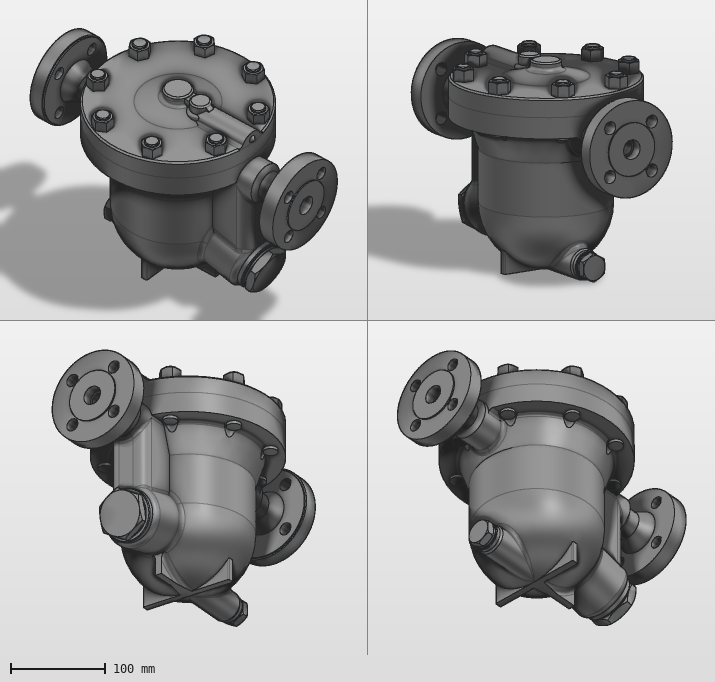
import math

import cadquery as cq


TOUCH_TOLERANCE = 0.001

COVER_RADIUS = 103.0
COVER_TOP = 47.6
COVER_JOINT = 27.0
COVER_CHAMFER = 2.0
FLANGE_BOTTOM = 4.0
FLARE_FILLET = 5.0
FLARE_TOP_RADIUS = 82.5
FLARE_BOTTOM = -30.0
BOWL_RADIUS = 71.5
BOTTOM = -160.0
BOWL_CENTRE_Z = BOTTOM + BOWL_RADIUS

BOLT_COUNT = 8
BOLT_CIRCLE_RADIUS = 89.0
STUD_DIAMETER = 16.0
STUD_TIP_DIAMETER = 14.0
STUD_TOP = 63.0
STUD_BOTTOM = 0.6
NUT_ACROSS_FLATS = 21.0
NUT_TOP = 60.2
NUT_CORNER_TURN = 180 / BOLT_COUNT
SPOTFACE_DIAMETER = 20.0

DOME_RADIUS = 46.5
DOME_TOP = 55.5
CAP_TOP = 65.6
CAP_CHAMFER = 1.8
MAIN_CAP_DIAMETER = 33.0
MAIN_CAP_FILLET = 6.0
SIDE_CAP_DIAMETER = 23.4
SIDE_CAP_X = 31.2
SIDE_CAP_FILLET = 4.3
SIDE_CAP_FOOT_Z = 50.6
RIDGE_SKIRT = 3.8
RIDGE_SKIRT_WIDTH = 8.0
WEB_WIDTH = 14.0
WEB_TOP = 63.2
PASSAGE_RADIUS = 15.0
PASSAGE_AXIS_Z = 45.0
PASSAGE_FILLET = 5.5
TIP_RADIUS = 4.2
TIP_Z = 50.7

FACE_TO_FACE = 340.0
PIPE_CENTRE_X = 8.0
PIPE_BOSS_DIAMETER = 46.0
PIPE_BOSS_START = 60.0
PIPE_BOSS_LENGTH = 113.3
PIPE_BOSS_TAPER = 4.5
PIPE_DIAMETER = 33.0
HUB_DIAMETER = 49.5
HUB_START = 134.0
FLANGE_DIAMETER = 105.0
FLANGE_BACK = 150.2
FACE_HEIGHT = 1.6
FACE_DIAMETER = 58.0
PIPE_HOLE_DIAMETER = 14.0
PIPE_HOLE_CIRCLE = 75.0
PIPE_HOLE_COUNT = 4
SOCKET_DIAMETER = 21.0
SOCKET_DEPTH = 12.0
BORE_DIAMETER = 16.0
BORE_DEPTH = 55.0
INLET_FILLET = 6.0
INLET_BACK_STEP = 1.9
INLET_BACK_DIAMETER = 101.5

CHANNEL_WIDTH = PIPE_BOSS_DIAMETER
CHANNEL_END_X = 115.0
CHANNEL_CORNER = 14.0
CHANNEL_BOTTOM = -95.0
OUTLET_FILLET = 5.5

VALVE_TILT = 15.0
VALVE_OFFSET = 81.8
VALVE_BODY_DIAMETER = 67.5
VALVE_NECK_DIAMETER = 58.0
VALVE_ROUND_START = 127.0
VALVE_ROUND_RADIUS = 7.4
VALVE_BODY_START = 40.0
VALVE_NECK_END = 140.0
VALVE_NECK_CHAMFER = 1.0
VALVE_GASKET_DIAMETER = 49.5
VALVE_PLUG_FLATS = 50.0
VALVE_PLUG_START = 142.5
VALVE_PLUG_END = 153.0
VALVE_FILLET = 7.0

DRAIN_DIAMETER = 34.0
DRAIN_LIFT = 0.25
DRAIN_Z = BOTTOM + DRAIN_DIAMETER / 2 + DRAIN_LIFT
DRAIN_BOSS_END = 71.3
DRAIN_NECK_DIAMETER = 31.0
DRAIN_NECK_START = 74.0
DRAIN_NECK_END = 79.3
DRAIN_NECK_CHAMFER = 0.8
DRAIN_GASKET_DIAMETER = 27.0
DRAIN_PLUG_FLATS = 27.0
DRAIN_PLUG_START = 82.0
DRAIN_PLUG_END = 91.2
DRAIN_FILLET = 5.0

FOOT_REACH = 55.0
FOOT_THICKNESS = 7.6
FOOT_HEIGHT = 40.0
FOOT_ROUND = 1.0
FOOT_FILLET = 7.0


def cylinder(diameter, bottom, top, x=0):
    """Upright cylinder between two heights."""
    return cq.Workplane("XY", origin=(x, 0, bottom)).circle(diameter / 2).extrude(top - bottom)


def turned(points):
    """Solid turned about Z from a closed outline of (radius, height) points."""
    return cq.Workplane("XZ").polyline(points).close().revolve(360, (0, 0), (0, 1))


def turn(solid, degrees):
    """Turn a solid about the Z axis."""
    return solid.rotate((0, 0, 0), (0, 0, 1), degrees)


def lay_along_x(solid):
    """Lay an upright solid down so that it points to +X."""
    return solid.rotate((0, 0, 0), (0, 1, 0), 90)


def hex_head(across_flats, bottom, top, bevel_base=True):
    """Upright hexagon with a corner on +X and its corners bevelled at the ends."""
    across_corners = across_flats / math.cos(math.radians(30))
    bevel_width = (across_corners - across_flats) / 2
    bevel_height = bevel_width * math.tan(math.radians(30))
    prism = cq.Workplane("XY", origin=(0, 0, bottom)).polygon(6, across_corners).extrude(top - bottom)
    envelope = cylinder(across_corners, bottom, top).faces(">Z").chamfer(bevel_height, bevel_width)
    if bevel_base:
        envelope = envelope.faces("<Z").chamfer(bevel_height, bevel_width)
    return prism.intersect(envelope)


def rim_of(radius, height):
    """Selector for the circle around Z with the given radius and height."""
    margin = 0.5
    reach = radius + margin
    return cq.selectors.BoxSelector(
        (-reach, -reach, height - margin), (reach, reach, height + margin), boundingbox=True
    )


def lies_on(point, solid):
    """True when the point is on the surface of the solid."""
    vertex = cq.Vertex.makeVertex(*point.toTuple())
    return any(face.distance(vertex) < TOUCH_TOLERANCE for face in solid.faces().vals())


def blend(base, added, radius, low_x=-FACE_TO_FACE, high_z=COVER_JOINT):
    """Join two solids and round the seams between them that lie beyond low_x and below high_z."""
    joined = base.union(added)
    seams = []
    for edge in joined.edges().vals():
        middle = edge.positionAt(0.5)
        in_range = middle.x > low_x and middle.z < high_z
        if in_range and lies_on(middle, added) and lies_on(middle, base):
            seams.append(edge)
    return joined.newObject(seams).fillet(radius)


def vessel():
    """Flange disc, flared neck and round-bottomed bowl, turned in one piece."""
    middle = math.sqrt(0.5) * BOWL_RADIUS
    shell = (
        cq.Workplane("XZ")
        .moveTo(0, COVER_JOINT)
        .lineTo(COVER_RADIUS, COVER_JOINT)
        .lineTo(COVER_RADIUS, FLANGE_BOTTOM)
        .lineTo(FLARE_TOP_RADIUS, FLANGE_BOTTOM)
        .lineTo(BOWL_RADIUS, FLARE_BOTTOM)
        .lineTo(BOWL_RADIUS, BOWL_CENTRE_Z)
        .threePointArc((middle, BOWL_CENTRE_Z - middle), (0, BOTTOM))
        .close()
        .revolve(360, (0, 0), (0, 1))
    )
    return shell.edges(rim_of(FLARE_TOP_RADIUS, FLANGE_BOTTOM)).fillet(FLARE_FILLET)


def channel():
    """Upright outlet channel with rounded outer corners."""
    return (
        cq.Workplane("XY", origin=(CHANNEL_END_X / 2, 0, CHANNEL_BOTTOM))
        .rect(CHANNEL_END_X, CHANNEL_WIDTH)
        .extrude(-CHANNEL_BOTTOM)
        .edges("|Z and >X")
        .fillet(CHANNEL_CORNER)
    )


def tilt(solid):
    """Lay an upright solid along the valve axis, which drops toward +X."""
    angle = math.radians(VALVE_TILT)
    return solid.rotate((0, 0, 0), (0, 1, 0), 90 + VALVE_TILT).translate(
        (-VALVE_OFFSET * math.sin(angle), 0, -VALVE_OFFSET * math.cos(angle))
    )


def valve_boss():
    """Inclined boss with a rounded shoulder and a narrower neck."""
    body_radius = VALVE_BODY_DIAMETER / 2
    neck_radius = VALVE_NECK_DIAMETER / 2
    step = body_radius - neck_radius
    round_length = math.sqrt(VALVE_ROUND_RADIUS**2 - (VALVE_ROUND_RADIUS - step) ** 2)
    boss = (
        cq.Workplane("XZ")
        .lineTo(body_radius, 0)
        .lineTo(body_radius, VALVE_ROUND_START)
        .radiusArc((neck_radius, VALVE_ROUND_START + round_length), -VALVE_ROUND_RADIUS)
        .lineTo(neck_radius, VALVE_NECK_END - VALVE_NECK_CHAMFER)
        .lineTo(neck_radius - VALVE_NECK_CHAMFER, VALVE_NECK_END)
        .lineTo(0, VALVE_NECK_END)
        .close()
        .revolve(360, (0, 0), (0, 1))
    )
    keep = cylinder(VALVE_BODY_DIAMETER, VALVE_BODY_START, VALVE_NECK_END)
    return tilt(boss.intersect(keep))


def valve_plug():
    gasket = cylinder(VALVE_GASKET_DIAMETER, VALVE_NECK_END, VALVE_PLUG_START)
    return tilt(gasket.union(hex_head(VALVE_PLUG_FLATS, VALVE_PLUG_START, VALVE_PLUG_END)))


def lay_drain(solid):
    """Lay an upright solid along the drain axis, pointing to -X."""
    return solid.rotate((0, 0, 0), (0, 1, 0), -90).translate((0, 0, DRAIN_Z))


def drain_boss():
    boss_radius = DRAIN_DIAMETER / 2
    neck_radius = DRAIN_NECK_DIAMETER / 2
    return lay_drain(turned([
        (0, 0),
        (boss_radius, 0),
        (boss_radius, DRAIN_BOSS_END),
        (neck_radius, DRAIN_NECK_START),
        (neck_radius, DRAIN_NECK_END - DRAIN_NECK_CHAMFER),
        (neck_radius - DRAIN_NECK_CHAMFER, DRAIN_NECK_END),
        (0, DRAIN_NECK_END),
    ]))


def drain_plug():
    gasket = cylinder(DRAIN_GASKET_DIAMETER, DRAIN_NECK_END, DRAIN_PLUG_START)
    return lay_drain(gasket.union(hex_head(DRAIN_PLUG_FLATS, DRAIN_PLUG_START, DRAIN_PLUG_END)))


def feet():
    """Cross plate on Y and a half plate on +X, both standing on the bottom plane."""
    cross = (
        cq.Workplane("XY", origin=(0, 0, BOTTOM))
        .rect(FOOT_THICKNESS, 2 * FOOT_REACH)
        .extrude(FOOT_HEIGHT)
        .edges("|Z")
        .fillet(FOOT_ROUND)
    )
    half = (
        cq.Workplane("XY", origin=(FOOT_REACH / 2, 0, BOTTOM))
        .rect(FOOT_REACH, FOOT_THICKNESS)
        .extrude(FOOT_HEIGHT)
    )
    return cross.union(half)


def foot_fillet():
    """Hollow rounding between the +X foot and the round bowl, turned about a Y axis."""
    face_y = FOOT_THICKNESS / 2
    reach = BOWL_RADIUS + FOOT_FILLET
    foot_radius = math.sqrt(reach**2 - (face_y + FOOT_FILLET) ** 2)
    bowl_radius = foot_radius * BOWL_RADIUS / reach
    bowl_y = (face_y + FOOT_FILLET) * BOWL_RADIUS / reach
    core_radius = FOOT_REACH
    ring = (
        cq.Workplane("XY", origin=(0, 0, BOWL_CENTRE_Z))
        .moveTo(core_radius, -bowl_y)
        .lineTo(bowl_radius, -bowl_y)
        .radiusArc((foot_radius, -face_y), FOOT_FILLET)
        .lineTo(foot_radius, face_y)
        .radiusArc((bowl_radius, bowl_y), FOOT_FILLET)
        .lineTo(core_radius, bowl_y)
        .close()
        .revolve(360, (0, 0), (0, 1))
    )
    quarter = (
        cq.Workplane("XY", origin=(FOOT_REACH / 2, 0, BOTTOM))
        .rect(FOOT_REACH, 2 * BOWL_RADIUS)
        .extrude(FOOT_HEIGHT)
    )
    return ring.intersect(quarter)


def pipe_connection():
    """Boss, pipe stub and weld-neck flange standing on Z, before being laid along X."""
    face = FACE_TO_FACE / 2
    flange_front = face - FACE_HEIGHT
    end = turned([
        (0, PIPE_BOSS_START),
        (PIPE_BOSS_DIAMETER / 2, PIPE_BOSS_START),
        (PIPE_BOSS_DIAMETER / 2, PIPE_BOSS_LENGTH),
        (PIPE_DIAMETER / 2, PIPE_BOSS_LENGTH + PIPE_BOSS_TAPER),
        (PIPE_DIAMETER / 2, HUB_START),
        (HUB_DIAMETER / 2, FLANGE_BACK),
        (FLANGE_DIAMETER / 2, FLANGE_BACK),
        (FLANGE_DIAMETER / 2, flange_front),
        (FACE_DIAMETER / 2, flange_front),
        (FACE_DIAMETER / 2, face),
        (0, face),
    ])
    return lay_along_x(end)


def pipe_bore():
    """Stepped pipe bore and flange bolt holes, pointing to +X."""
    face = FACE_TO_FACE / 2
    holes = (
        cq.Workplane("XY", origin=(0, 0, FLANGE_BACK))
        .polarArray(PIPE_HOLE_CIRCLE / 2, 180 / PIPE_HOLE_COUNT, 360, PIPE_HOLE_COUNT)
        .circle(PIPE_HOLE_DIAMETER / 2)
        .extrude(face - FLANGE_BACK)
    )
    socket = cylinder(SOCKET_DIAMETER, face - SOCKET_DEPTH, face)
    bore = cylinder(BORE_DIAMETER, face - BORE_DEPTH, face)
    return lay_along_x(holes.union(socket).union(bore))


def at_outlet(solid):
    """Place a solid made for the +X end of the pipe."""
    return solid.translate((PIPE_CENTRE_X, 0, 0))


def at_inlet(solid):
    """Place the mirror image of a solid at the -X end of the pipe."""
    return solid.mirror("YZ").translate((PIPE_CENTRE_X, 0, 0))


def inlet():
    """Inlet connection with a ring cut from the rim on the back of its flange."""
    ring = (
        cq.Workplane("YZ", origin=(PIPE_CENTRE_X - FLANGE_BACK - INLET_BACK_STEP, 0, 0))
        .circle(FLANGE_DIAMETER)
        .circle(INLET_BACK_DIAMETER / 2)
        .extrude(INLET_BACK_STEP)
    )
    return at_inlet(pipe_connection()).cut(ring)


def outlet():
    """Outlet connection rounded into the channel below it."""
    corner_start = CHANNEL_END_X - CHANNEL_CORNER
    return blend(channel(), at_outlet(pipe_connection()), OUTLET_FILLET, low_x=corner_start)


def cover_disc():
    """Cover with its low conical dome and the main cap, turned in one piece."""
    cap_radius = MAIN_CAP_DIAMETER / 2
    disc = turned([
        (0, COVER_JOINT),
        (COVER_RADIUS, COVER_JOINT),
        (COVER_RADIUS, COVER_TOP - COVER_CHAMFER),
        (COVER_RADIUS - COVER_CHAMFER, COVER_TOP),
        (DOME_RADIUS, COVER_TOP),
        (cap_radius, DOME_TOP),
        (cap_radius, CAP_TOP - CAP_CHAMFER),
        (cap_radius - CAP_CHAMFER, CAP_TOP),
        (0, CAP_TOP),
    ])
    return disc.edges(rim_of(cap_radius, DOME_TOP)).fillet(MAIN_CAP_FILLET)


def passage():
    """Half-round ridge from the side cap to the cover rim, with hollow-rounded feet."""
    fillet_z = COVER_TOP + PASSAGE_FILLET
    rise = fillet_z - PASSAGE_AXIS_Z
    centre_distance = PASSAGE_RADIUS + PASSAGE_FILLET
    foot_y = math.sqrt(centre_distance**2 - rise**2)
    tangent_y = foot_y * PASSAGE_RADIUS / centre_distance
    tangent_z = PASSAGE_AXIS_Z + rise * PASSAGE_RADIUS / centre_distance
    base_z = COVER_TOP - COVER_CHAMFER
    ridge = (
        cq.Workplane("YZ", origin=(SIDE_CAP_X, 0, 0))
        .moveTo(-foot_y, base_z)
        .lineTo(-foot_y, COVER_TOP)
        .radiusArc((-tangent_y, tangent_z), -PASSAGE_FILLET)
        .threePointArc((0, PASSAGE_AXIS_Z + PASSAGE_RADIUS), (tangent_y, tangent_z))
        .radiusArc((foot_y, COVER_TOP), -PASSAGE_FILLET)
        .lineTo(foot_y, base_z)
        .close()
        .extrude(COVER_RADIUS)
    )
    return ridge.intersect(cylinder(2 * COVER_RADIUS, base_z, CAP_TOP))


def passage_tip():
    """Small cone on the rim end of the passage, its point toward +X."""
    cone = turned([(0, -TIP_RADIUS), (TIP_RADIUS, -TIP_RADIUS), (TIP_RADIUS, 0), (0, TIP_RADIUS)])
    return lay_along_x(cone).translate((COVER_RADIUS, 0, TIP_Z))


def side_cap():
    return cylinder(SIDE_CAP_DIAMETER, COVER_TOP, CAP_TOP, x=SIDE_CAP_X).faces(">Z").chamfer(CAP_CHAMFER)


def side_cap_skirt():
    """Hollow rounding around the foot of the side cap."""
    cap_radius = SIDE_CAP_DIAMETER / 2
    skirt = (
        cq.Workplane("XZ")
        .moveTo(0, COVER_TOP)
        .lineTo(cap_radius + SIDE_CAP_FILLET, COVER_TOP)
        .lineTo(cap_radius + SIDE_CAP_FILLET, SIDE_CAP_FOOT_Z)
        .radiusArc((cap_radius, SIDE_CAP_FOOT_Z + SIDE_CAP_FILLET), -SIDE_CAP_FILLET)
        .lineTo(0, SIDE_CAP_FOOT_Z + SIDE_CAP_FILLET)
        .close()
        .revolve(360, (0, 0), (0, 1))
    )
    return skirt.translate((SIDE_CAP_X, 0, 0))


def ridge_skirt():
    """Sloping foot of the side cap where it stands on the crest of the passage."""
    cap_radius = SIDE_CAP_DIAMETER / 2
    crest_z = PASSAGE_AXIS_Z + PASSAGE_RADIUS
    foot_radius = cap_radius + RIDGE_SKIRT
    skirt = turned([
        (0, crest_z - RIDGE_SKIRT),
        (foot_radius, crest_z - RIDGE_SKIRT),
        (foot_radius, crest_z),
        (cap_radius, crest_z + RIDGE_SKIRT),
        (0, crest_z + RIDGE_SKIRT),
    ]).translate((SIDE_CAP_X, 0, 0))
    crest = (
        cq.Workplane("XY", origin=(SIDE_CAP_X + foot_radius / 2, 0, COVER_TOP))
        .rect(foot_radius, RIDGE_SKIRT_WIDTH)
        .extrude(CAP_TOP - COVER_TOP)
    )
    return skirt.intersect(crest)


def cap_web():
    """Short bridge between the two caps."""
    return (
        cq.Workplane("XY", origin=(SIDE_CAP_X / 2, 0, COVER_TOP))
        .rect(SIDE_CAP_X / 2, WEB_WIDTH)
        .extrude(WEB_TOP - COVER_TOP)
    )


def cover():
    top = cover_disc().union(passage()).union(passage_tip())
    return top.union(side_cap()).union(side_cap_skirt()).union(ridge_skirt()).union(cap_web())


def bolting():
    """One cover stud with its nut, on the bolt circle at half a pitch from +X."""
    tip_step = (STUD_DIAMETER - STUD_TIP_DIAMETER) / 2
    stud = cylinder(STUD_DIAMETER, STUD_BOTTOM, STUD_TOP).faces(">Z").chamfer(tip_step)
    nut = turn(hex_head(NUT_ACROSS_FLATS, COVER_TOP, NUT_TOP, bevel_base=False), NUT_CORNER_TURN)
    placed = stud.union(nut).translate((BOLT_CIRCLE_RADIUS, 0, 0))
    return turn(placed, 180 / BOLT_COUNT)


def spotface():
    """Cutter clearing the flare under one cover bolt."""
    cutter = cylinder(SPOTFACE_DIAMETER, FLARE_BOTTOM, FLANGE_BOTTOM, x=BOLT_CIRCLE_RADIUS)
    return turn(cutter, 180 / BOLT_COUNT)


def around_bolt_circle(part):
    """Copies of the part at every cover bolt position."""
    copies = [turn(part, index * 360 / BOLT_COUNT).val() for index in range(BOLT_COUNT)]
    return cq.Workplane(cq.Compound.makeCompound(copies))


def join(body, part):
    """Join without merging faces, which keeps the joint line between vessel and cover."""
    return body.union(part, clean=False)


body = blend(vessel(), inlet(), INLET_FILLET, high_z=FLANGE_BOTTOM + TOUCH_TOLERANCE)
body = body.cut(around_bolt_circle(spotface()))
body = body.union(outlet())
body = blend(body, valve_boss(), VALVE_FILLET)
body = blend(body, drain_boss(), DRAIN_FILLET)
body = body.union(feet()).union(foot_fillet())
body = body.union(valve_plug()).union(drain_plug())
body = join(body, cover())
body = join(body, around_bolt_circle(bolting()))
bore = pipe_bore()
result = body.cut(at_outlet(bore), clean=False).cut(at_inlet(bore), clean=False)